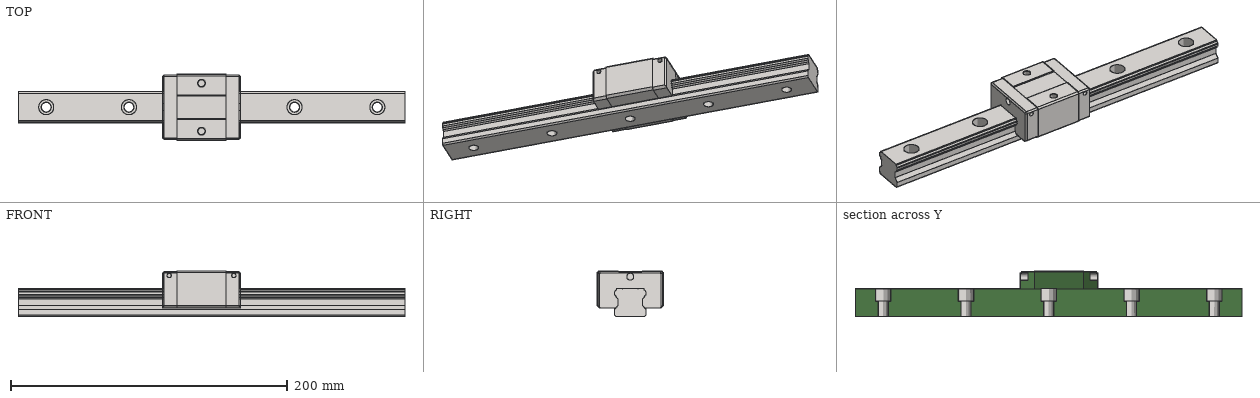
import cadquery as cq

RAIL_LENGTH = 280.0
RAIL_HALF_WIDTH = 11.5
RAIL_HEIGHT = 20.2
RAIL_TOP_HALF_WIDTH = 9.8
RAIL_WAIST_HALF_WIDTH = 9.0
SHOULDER_SLOPE = 0.3
SHOULDER_TOP = 19.3
HEAD_TOP = 17.5
HEAD_BOTTOM = 16.0
GROOVE_CHAMFER = 0.98
UNDERCUT_TOP = HEAD_BOTTOM - GROOVE_CHAMFER
UNDERCUT_BOTTOM = 13.7
WAIST_BOTTOM = 7.8
FOOT_TOP = 5.0
FOOT_CHAMFER = 1.0

HOLE_PITCH = 60.0
HOLE_COUNT = 5
HOLE_DIAMETER = 7.0
COUNTERBORE_DIAMETER = 11.0
COUNTERBORE_DEPTH = 9.0

TOTAL_HEIGHT = 33.0
CARRIAGE_START = -35.5
CARRIAGE_BOTTOM = 6.2
BOTTOM_CHAMFER = 1.7

BLOCK_LENGTH = 35.5
BLOCK_WIDTH = 48.0
BLOCK_TOP_CHAMFER = 1.25
CHANNEL_FLOOR_WIDTH = 16.5
CHANNEL_DEPTH = 0.5

BOLT_SPACING = 34.7
BOLT_DIAMETER = 5.0
BOLT_MOUTH_DIAMETER = 5.5
BOLT_DEPTH = 8.5

CAP_LENGTH = 10.5
CAP_WIDTH = 46.8
CAP_TOP = TOTAL_HEIGHT - CHANNEL_DEPTH
CAP_CHAMFER = 1.0

GREASE_DIAMETER = 5.0
GREASE_HEIGHT = 28.8
GREASE_DEPTH = 5.5

SIDE_DIAMETER = 3.0
SIDE_HEIGHT = 29.7
SIDE_INSET = 4.8
SIDE_DEPTH = 4.2

BLOCK_START = CARRIAGE_START + CAP_LENGTH
CARRIAGE_CENTER = BLOCK_START + BLOCK_LENGTH / 2


def symmetric_bar(half_outline, start, length):
    """Extrude along X a section given by its +Y half, listed from top to bottom as (y, z)."""
    mirrored = [(-y, z) for y, z in reversed(half_outline)]
    return cq.Workplane("YZ", origin=(start, 0, 0)).polyline(half_outline + mirrored).close().extrude(length)


def blind_hole(mouth, inward, diameter, depth, mouth_diameter=None):
    """Cutter for a blind hole from the mouth point inward, optionally with a 45 degree countersink."""
    plane = cq.Plane(origin=mouth, normal=inward)
    bore = cq.Workplane(plane).circle(diameter / 2).extrude(depth)
    if mouth_diameter is None:
        return bore
    flare_depth = (mouth_diameter - diameter) / 2
    flare = cq.Workplane(plane).circle(mouth_diameter / 2).extrude(flare_depth, taper=45)
    return bore.union(flare)


def rail_bar():
    """Rail section without its mounting holes, also used to cut the carriage opening."""
    shoulder_drop = RAIL_HALF_WIDTH - RAIL_TOP_HALF_WIDTH - 2 * SHOULDER_SLOPE
    half_outline = [
        (RAIL_TOP_HALF_WIDTH, RAIL_HEIGHT),
        (RAIL_TOP_HALF_WIDTH + SHOULDER_SLOPE, SHOULDER_TOP),
        (RAIL_HALF_WIDTH - SHOULDER_SLOPE, SHOULDER_TOP - shoulder_drop),
        (RAIL_HALF_WIDTH, HEAD_TOP),
        (RAIL_HALF_WIDTH, HEAD_BOTTOM),
        (RAIL_HALF_WIDTH - GROOVE_CHAMFER, UNDERCUT_TOP),
        (RAIL_WAIST_HALF_WIDTH + GROOVE_CHAMFER, UNDERCUT_BOTTOM),
        (RAIL_WAIST_HALF_WIDTH, UNDERCUT_BOTTOM - GROOVE_CHAMFER),
        (RAIL_WAIST_HALF_WIDTH, WAIST_BOTTOM),
        (RAIL_HALF_WIDTH, FOOT_TOP),
        (RAIL_HALF_WIDTH, FOOT_CHAMFER),
        (RAIL_HALF_WIDTH - FOOT_CHAMFER, 0),
    ]
    return symmetric_bar(half_outline, -RAIL_LENGTH / 2, RAIL_LENGTH)


def make_rail():
    return (
        rail_bar()
        .faces(">Z").workplane(origin=(0, 0, RAIL_HEIGHT))
        .rarray(HOLE_PITCH, 2.8, HOLE_COUNT, 1)
        .cboreHole(HOLE_DIAMETER, COUNTERBORE_DIAMETER, COUNTERBORE_DEPTH)
    )


def carriage_bar(width, top, top_chamfer, start, length):
    """Solid bar with chamfered long edges, reaching down to the carriage's underside."""
    half_width = width / 2
    half_outline = [
        (half_width - top_chamfer, top),
        (half_width, top - top_chamfer),
        (half_width, CARRIAGE_BOTTOM + BOTTOM_CHAMFER),
        (half_width - BOTTOM_CHAMFER, CARRIAGE_BOTTOM),
    ]
    return symmetric_bar(half_outline, start, length)


def make_block():
    block = carriage_bar(BLOCK_WIDTH, TOTAL_HEIGHT, BLOCK_TOP_CHAMFER, BLOCK_START, BLOCK_LENGTH)
    floor_half = CHANNEL_FLOOR_WIDTH / 2
    channel_half_outline = [(floor_half + CHANNEL_DEPTH, TOTAL_HEIGHT), (floor_half, CAP_TOP)]
    block = block.cut(symmetric_bar(channel_half_outline, BLOCK_START, BLOCK_LENGTH)).cut(rail_bar())
    for side in (-1, 1):
        mouth = (CARRIAGE_CENTER, side * BOLT_SPACING / 2, TOTAL_HEIGHT)
        block = block.cut(blind_hole(mouth, (0, 0, -1), BOLT_DIAMETER, BOLT_DEPTH, BOLT_MOUTH_DIAMETER))
    return block


def make_end_cap():
    """End cap on the -X end of the block."""
    cap = carriage_bar(CAP_WIDTH, CAP_TOP, CAP_CHAMFER, CARRIAGE_START, CAP_LENGTH)
    above_bottom_chamfer = cq.selectors.BoxSelector(
        (CARRIAGE_START - 2.8, -CAP_WIDTH, CARRIAGE_BOTTOM + BOTTOM_CHAMFER),
        (CARRIAGE_START + 2.8, CAP_WIDTH, TOTAL_HEIGHT),
    )
    cap = cap.faces("<X").edges(above_bottom_chamfer).chamfer(CAP_CHAMFER)
    cap = cap.cut(rail_bar())

    grease_mouth = (CARRIAGE_START, 0, GREASE_HEIGHT)
    cap = cap.cut(blind_hole(grease_mouth, (1, 0, 0), GREASE_DIAMETER, GREASE_DEPTH))
    for side in (-1, 1):
        side_mouth = (CARRIAGE_START + SIDE_INSET, side * CAP_WIDTH / 2, SIDE_HEIGHT)
        cap = cap.cut(blind_hole(side_mouth, (0, -side, 0), SIDE_DIAMETER, SIDE_DEPTH))
    return cap


rail = make_rail()
block = make_block()
end_cap = make_end_cap()
opposite_end_cap = end_cap.mirror("YZ", (CARRIAGE_CENTER, 0, 0))

result = cq.Compound.makeCompound([rail.val(), block.val(), end_cap.val(), opposite_end_cap.val()])